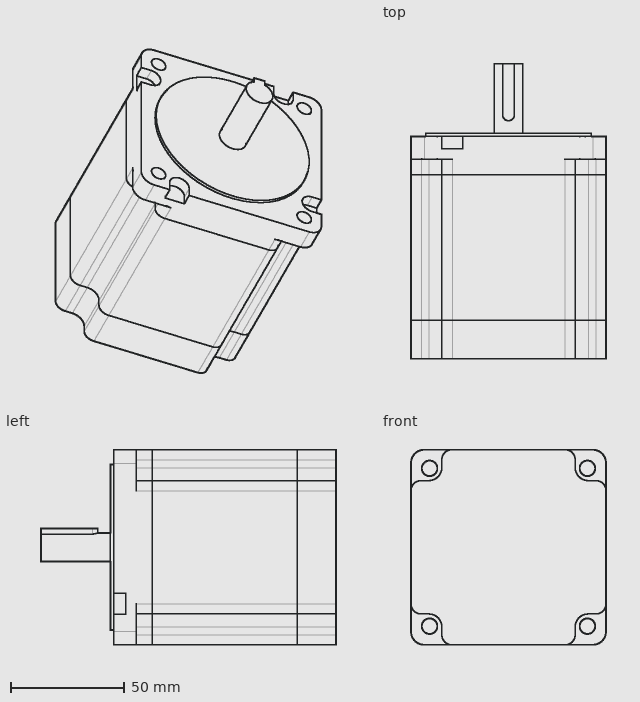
import cadquery as cq


OVERALL_LENGTH = 130.0
FRAME_SIZE = 86.0
SHAFT_REACH = 32.0
MOTOR_LENGTH = OVERALL_LENGTH - SHAFT_REACH

FLANGE_THICKNESS = 10.0
FLANGE_CORNER_RADIUS = 6.0
FRONT_HOUSING_LENGTH = 17.0
PILOT_DIAMETER = 73.0
PILOT_HEIGHT = 1.4
MOUNT_HOLE_SPACING = 69.5
MOUNT_HOLE_DIAMETER = 6.8

NOTCH_WIDTH = 9.2
NOTCH_DEPTH = NOTCH_WIDTH
NOTCH_LENGTH = 5.5
NOTCH_OFFSET = 24.8
NOTCH_COUNT = 4

CORNER_RELIEF = 13.6
RELIEF_LIP_RADIUS = 4.5
RELIEF_ROOT_RADIUS = 5.7

REAR_COVER_LENGTH = 17.0
STATOR_LENGTH = MOTOR_LENGTH - FRONT_HOUSING_LENGTH - REAR_COVER_LENGTH

SHAFT_DIAMETER = 12.7
KEY_WIDTH = 5.2
KEY_LENGTH = 25.1
KEY_TOP = 8.3


def plane_at(y):
    """Workplane across the motor axis at the given Y; extrusions run toward -Y."""
    return cq.Workplane("XZ", origin=(0, y, 0))


def frame_block(front_y, length):
    """Square block with four relieved corners, running back from front_y."""
    half = FRAME_SIZE / 2
    corners = [(x, z) for x in (-half, half) for z in (-half, half)]
    cutters = (
        plane_at(front_y)
        .pushPoints(corners)
        .rect(2 * CORNER_RELIEF, 2 * CORNER_RELIEF)
        .extrude(length)
        .edges("|Y")
        .fillet(RELIEF_ROOT_RADIUS)
    )
    block = plane_at(front_y).rect(FRAME_SIZE, FRAME_SIZE).extrude(length).cut(cutters)
    return block.edges("|Y and (<X or >X or <Z or >Z)").fillet(RELIEF_LIP_RADIUS)


def make_flange():
    """Mounting flange with rounded corners and four through holes."""
    plate = (
        plane_at(0)
        .rect(FRAME_SIZE, FRAME_SIZE)
        .extrude(FLANGE_THICKNESS)
        .edges("|Y")
        .fillet(FLANGE_CORNER_RADIUS)
    )
    holes = (
        plane_at(0)
        .rect(MOUNT_HOLE_SPACING, MOUNT_HOLE_SPACING, forConstruction=True)
        .vertices()
        .circle(MOUNT_HOLE_DIAMETER / 2)
        .extrude(FLANGE_THICKNESS)
    )
    return plate.cut(holes)


def make_notch():
    """Round-bottomed slot cutter entering the top side of the flange."""
    radius = NOTCH_WIDTH / 2
    top = FRAME_SIZE / 2
    round_centre = top - NOTCH_DEPTH + radius
    return (
        plane_at(0)
        .moveTo(-NOTCH_OFFSET - radius, top)
        .lineTo(-NOTCH_OFFSET - radius, round_centre)
        .threePointArc((-NOTCH_OFFSET, top - NOTCH_DEPTH), (-NOTCH_OFFSET + radius, round_centre))
        .lineTo(-NOTCH_OFFSET + radius, top)
        .close()
        .extrude(NOTCH_LENGTH)
    )


def make_front_housing():
    """Flange, pilot boss and the relieved stretch behind the flange, in one piece."""
    housing = make_flange()
    housing = housing.union(
        frame_block(-FLANGE_THICKNESS, FRONT_HOUSING_LENGTH - FLANGE_THICKNESS)
    )
    housing = housing.union(plane_at(0).circle(PILOT_DIAMETER / 2).extrude(-PILOT_HEIGHT))
    notch = make_notch()
    for index in range(NOTCH_COUNT):
        turn = index * 360 / NOTCH_COUNT
        housing = housing.cut(notch.rotate((0, 0, 0), (0, 1, 0), turn))
    return housing


def make_stator():
    """Middle stretch of the motor frame."""
    return frame_block(-FRONT_HOUSING_LENGTH, STATOR_LENGTH)


def make_rear_cover():
    """Plain cover that closes the back of the motor."""
    return frame_block(-FRONT_HOUSING_LENGTH - STATOR_LENGTH, REAR_COVER_LENGTH)


def make_shaft():
    """Output shaft standing on the pilot face, with an integral round-ended key on top."""
    shaft = plane_at(SHAFT_REACH).circle(SHAFT_DIAMETER / 2).extrude(SHAFT_REACH - PILOT_HEIGHT)
    key_end = SHAFT_REACH - KEY_LENGTH
    half_width = KEY_WIDTH / 2
    key = (
        cq.Workplane("XY")
        .moveTo(-half_width, SHAFT_REACH)
        .lineTo(-half_width, key_end + half_width)
        .threePointArc((0, key_end), (half_width, key_end + half_width))
        .lineTo(half_width, SHAFT_REACH)
        .close()
        .extrude(KEY_TOP)
    )
    return shaft.union(key)


front_housing = make_front_housing()
stator = make_stator()
rear_cover = make_rear_cover()
shaft = make_shaft()

result = cq.Compound.makeCompound(
    [front_housing.val(), stator.val(), rear_cover.val(), shaft.val()]
)